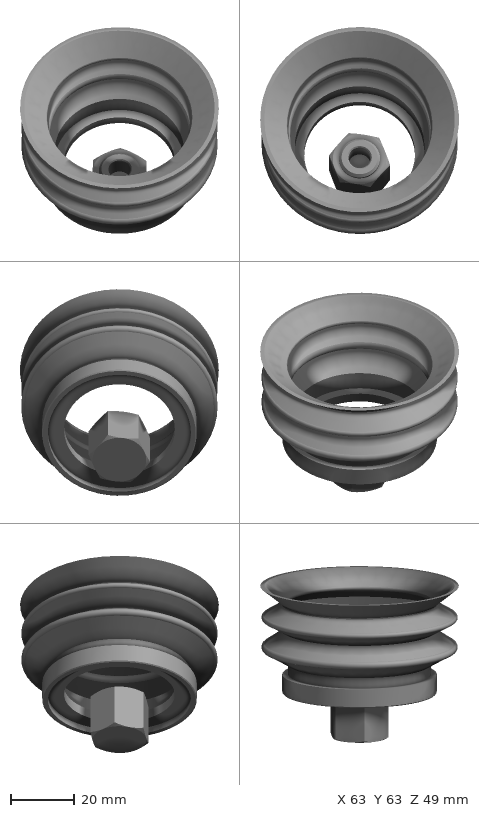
import cadquery as cq

rim_radius = 31.5
rim_height = 49.0
rim_width = 1.3

upper_neck_radius = 24.65
upper_neck_height = 43.15
upper_neck_land = 0.4
upper_bore_radius = 22.95
upper_bore_height = 43.6
upper_bore_top = (23.1, 44.1)
upper_bore_bottom = (23.1, 43.0)

fold_radius = 31.1
upper_crest_height = 38.95
upper_crest_top = (30.4, 39.75)
upper_crest_bottom = (30.4, 38.0)
upper_hollow = (28.6, 39.75)

lower_neck_radius = 24.2
lower_neck_height = 34.5
lower_bore_radius = 22.0
lower_bore_height = 34.9
lower_bore_top = (22.5, 36.2)
lower_bore_bottom = (22.5, 33.65)

lower_crest_height = 29.25
lower_crest_top = (30.2, 30.5)
lower_crest_bottom = (30.0, 28.05)
lower_hollow = (28.35, 29.9)

foot_radius = 22.7
foot_top = 23.8
foot_bore_radius = 20.55
foot_bore_top = 25.45
foot_ledge_height = 19.5
foot_bottom = 16.5
mouth_radius = 17.6

ring_radius = 24.5
ring_top = 20.5
ring_bottom = 14.5
ring_chamfer = 0.3

hex_across_flats = 17.0
hex_corner_diameter = hex_across_flats / 0.75 ** 0.5
hex_height = ring_bottom
hex_turn = 4.4
hex_chamfer_height = 0.75
hex_chamfer_width = (hex_corner_diameter - hex_across_flats) / 2
boss_diameter = 13.0
boss_tip_diameter = 11.4
boss_chamfer = (boss_diameter - boss_tip_diameter) / 2
boss_height = 1.6
bore_diameter = 7.0
bore_mouth_diameter = 7.75
bore_chamfer = (bore_mouth_diameter - bore_diameter) / 2
bore_depth = 6.3


def make_bellows():
    """Revolve the folded wall, outside from the foot up, then inside back down."""
    profile = (
        cq.Workplane("XZ")
        .moveTo(foot_radius, foot_bottom)
        .lineTo(foot_radius, foot_top)
        .lineTo(*lower_crest_bottom)
        .threePointArc((fold_radius, lower_crest_height), lower_crest_top)
        .lineTo(lower_neck_radius, lower_neck_height)
        .lineTo(*upper_crest_bottom)
        .threePointArc((fold_radius, upper_crest_height), upper_crest_top)
        .lineTo(upper_neck_radius, upper_neck_height)
        .lineTo(upper_neck_radius, upper_neck_height + upper_neck_land)
        .lineTo(rim_radius, rim_height)
        .lineTo(rim_radius - rim_width, rim_height)
        .lineTo(*upper_bore_top)
        .threePointArc((upper_bore_radius, upper_bore_height), upper_bore_bottom)
        .lineTo(*upper_hollow)
        .lineTo(*lower_bore_top)
        .threePointArc((lower_bore_radius, lower_bore_height), lower_bore_bottom)
        .lineTo(*lower_hollow)
        .lineTo(foot_bore_radius, foot_bore_top)
        .lineTo(foot_bore_radius, foot_ledge_height)
        .lineTo(mouth_radius, foot_ledge_height)
        .lineTo(mouth_radius, foot_bottom)
        .close()
    )
    return profile.revolve(360, (0, 0, 0), (0, 1, 0))


def make_ring():
    """Plain hoop fitted on the bellows foot, with its lower outer edge chamfered."""
    hoop = (
        cq.Workplane("XY", origin=(0, 0, ring_bottom))
        .circle(ring_radius)
        .extrude(ring_top - ring_bottom)
        .faces("<Z").edges().chamfer(ring_chamfer)
    )
    return hoop.faces("<Z").workplane().circle(foot_radius).cutThruAll()


def make_hex_body():
    """Hexagonal bar whose corners are turned down to a cone at both ends."""
    bar = (
        cq.Workplane("XY")
        .polygon(6, hex_corner_diameter)
        .extrude(hex_height)
        .rotate((0, 0, 0), (0, 0, 1), hex_turn)
    )
    turned = (
        cq.Workplane("XY")
        .circle(hex_corner_diameter / 2)
        .extrude(hex_height)
        .faces("<Z or >Z").edges().chamfer(hex_chamfer_height, hex_chamfer_width)
    )
    return bar.intersect(turned)


def make_fitting():
    """Hex body with a chamfered boss on top and a countersunk blind bore."""
    boss_top = hex_height + boss_height
    boss = (
        cq.Workplane("XY", origin=(0, 0, hex_height))
        .circle(boss_diameter / 2)
        .extrude(boss_height)
        .faces(">Z").edges().chamfer(boss_chamfer)
    )
    bore = (
        cq.Workplane("XY", origin=(0, 0, boss_top))
        .circle(bore_diameter / 2)
        .extrude(-bore_depth)
    )
    fitting = make_hex_body().union(boss).cut(bore)
    mouth_edge = fitting.faces(">Z").edges(cq.selectors.RadiusNthSelector(0))
    return mouth_edge.chamfer(bore_chamfer)


bellows = make_bellows()
ring = make_ring()
fitting = make_fitting()

result = cq.Compound.makeCompound([bellows.val(), ring.val(), fitting.val()])